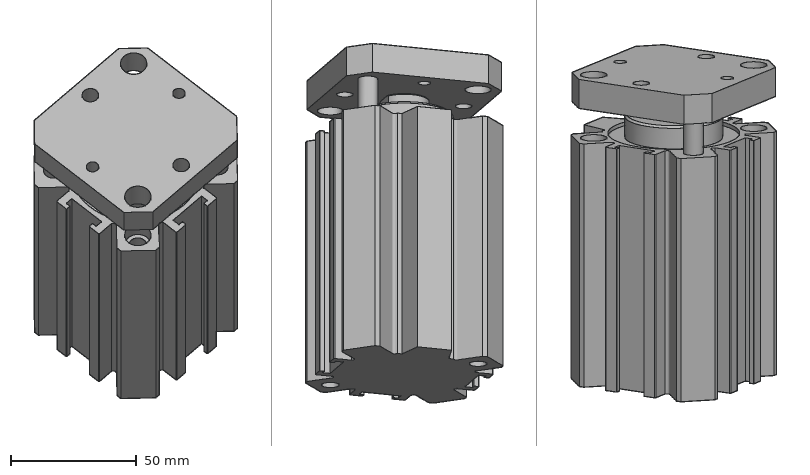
import cadquery as cq
import math

housing_height = 100.0
total_height = 126.0
plate_thickness = 12.0
plate_bottom = total_height - plate_thickness

housing_width = 67.0
half_width = housing_width / 2
post_half_width = 8.5
post_reach = 40.5
groove_floor_reach = 26.8
groove_fillet = 1.0
land_half_width = 11.7
land_chamfer = 0.4
slot_mouth_half_width = 6.2
slot_inner_half_width = 8.2
slot_lip_thickness = 2.0
slot_mouth_chamfer = 0.3
slot_floor = 28.4
rail_top = 37.4
rail_top_half_width = 7.2
rail_slope = 0.24

hole_spacing = 46.4
mounting_hole_diameter = 7.0
counterbore_diameter = 10.5
counterbore_depth = 6.8
recess_diameter = 52.5
recess_depth = 1.5
boss_diameter = 39.0
boss_height = 7.8
boss_chamfer = 0.9

plate_width = 65.3
plate_corner_chamfer = 8.2
clearance_hole_diameter = 10.5
plate_hole_radius = 25.0
tapped_hole_diameter = 6.5
dowel_hole_diameter = 4.9
guide_rod_diameter = 8.0
piston_rod_diameter = 20.0
piston_rod_chamfer = 0.5
flat_width = 17.0
flat_bottom = housing_height + 9.5

hole_offset = hole_spacing / 2
mounting_points = [(-hole_offset, hole_offset), (hole_offset, -hole_offset)]
guide_points = [(-hole_offset, -hole_offset), (hole_offset, hole_offset)]
boss_top = housing_height + boss_height
diagonal = math.sqrt(2)
land_root = groove_floor_reach * diagonal - land_half_width
z_axis = ((0, 0, 0), (0, 0, 1))


def prism(points, height):
    return cq.Workplane("XY").polyline(points).close().extrude(height)


def cylinder(diameter, bottom, top, centre=(0, 0)):
    plane = cq.Workplane("XY").workplane(offset=bottom)
    return plane.center(*centre).circle(diameter / 2).extrude(top - bottom)


def mirrored_outline(points):
    """Complete an outline that is symmetric about X = 0 from its +X half."""
    return points + [(-x, y) for x, y in reversed(points)]


def make_side_grooves():
    """Cutter for the two grooves beside the middle land of the -Y side."""
    floor_x = (groove_floor_reach - post_half_width) / diagonal
    floor_y = (groove_floor_reach + post_half_width) / diagonal
    wall_top_x = floor_x + half_width - floor_y
    outline = [
        (land_half_width - land_chamfer, -half_width),
        (land_half_width, -half_width + land_chamfer),
        (land_half_width, -land_root),
        (floor_x, -floor_y),
        (wall_top_x, -half_width),
    ]
    inner_corner = cq.selectors.NearestToPointSelector((floor_x, -floor_y, housing_height / 2))
    groove = prism(outline, housing_height).edges(inner_corner).fillet(groove_fillet)
    return groove.union(groove.mirror("YZ"))


def make_t_slot():
    """Cutter for the T-slot in the -Y side."""
    lip_inside = half_width - slot_lip_thickness
    outline = mirrored_outline([
        (slot_mouth_half_width + slot_mouth_chamfer, -half_width),
        (slot_mouth_half_width, -half_width + slot_mouth_chamfer),
        (slot_mouth_half_width, -lip_inside),
        (slot_inner_half_width, -lip_inside),
        (slot_inner_half_width, -slot_floor),
    ])
    return prism(outline, housing_height)


def make_rail():
    """Tapered rail that takes the place of the land on the +Y side."""
    root_half_width = rail_top_half_width + rail_slope * (rail_top - land_root)
    outline = mirrored_outline([(rail_top_half_width, rail_top), (root_half_width, land_root)])
    return prism(outline, housing_height)


def make_extrusion():
    """Grooved housing body with a T-slot on three sides and the rail on the fourth."""
    corner_cut = housing_width - post_reach * diagonal
    body = cq.Workplane("XY").rect(housing_width, housing_width).extrude(housing_height)
    body = body.edges("|Z").chamfer(corner_cut)
    grooves = make_side_grooves()
    for angle in (0, 90, 180, 270):
        body = body.cut(grooves.rotate(*z_axis, angle))
    t_slot = make_t_slot()
    for angle in (0, 90, 270):
        body = body.cut(t_slot.rotate(*z_axis, angle))
    land = prism(
        mirrored_outline([(land_half_width, land_root), (land_half_width, half_width)]),
        housing_height,
    )
    return body.cut(land).union(make_rail())


def make_housing():
    """Extrusion with counterbored mounting holes, a shallow end recess and a round boss."""
    housing = (
        make_extrusion()
        .faces(">Z").workplane(origin=(0, 0, housing_height))
        .pushPoints(mounting_points)
        .cboreHole(mounting_hole_diameter, counterbore_diameter, counterbore_depth)
    )
    recess_floor = housing_height - recess_depth
    recess = cylinder(recess_diameter, recess_floor, housing_height)
    boss = cylinder(boss_diameter, recess_floor, boss_top).faces(">Z").chamfer(boss_chamfer)
    return housing.cut(recess).union(boss)


def make_piston_rod():
    """Round rod, chamfered at the plate, with flats facing -X and +X below it."""
    rod = cylinder(piston_rod_diameter, boss_top, plate_bottom).faces(">Z").chamfer(piston_rod_chamfer)
    flat_depth = (piston_rod_diameter - flat_width) / 2
    flat_height = plate_bottom - flat_bottom
    flat_cutter = cq.Workplane("XY").box(
        flat_depth, piston_rod_diameter, flat_height, centered=(False, True, False)
    )
    flat_cutter = flat_cutter.translate((flat_width / 2, 0, flat_bottom))
    return rod.cut(flat_cutter).cut(flat_cutter.mirror("YZ"))


def make_plate():
    """End plate with chamfered corners and six through holes."""
    plate = (
        cq.Workplane("XY").workplane(offset=plate_bottom)
        .rect(plate_width, plate_width)
        .extrude(plate_thickness)
        .edges("|Z").chamfer(plate_corner_chamfer)
    )
    hole_groups = [
        (clearance_hole_diameter, mounting_points),
        (tapped_hole_diameter, [(-plate_hole_radius, 0), (plate_hole_radius, 0)]),
        (dowel_hole_diameter, [(0, -plate_hole_radius), (0, plate_hole_radius)]),
    ]
    for diameter, points in hole_groups:
        for point in points:
            plate = plate.cut(cylinder(diameter, plate_bottom, total_height, point))
    return plate


def make_moving_plate():
    """Plate, piston rod and both guide rods as one body resting on the housing."""
    body = make_plate().union(make_piston_rod())
    for point in guide_points:
        body = body.union(cylinder(guide_rod_diameter, housing_height, plate_bottom, point))
    return body


housing = make_housing()
moving_plate = make_moving_plate()

result = cq.Compound.makeCompound([housing.val(), moving_plate.val()])